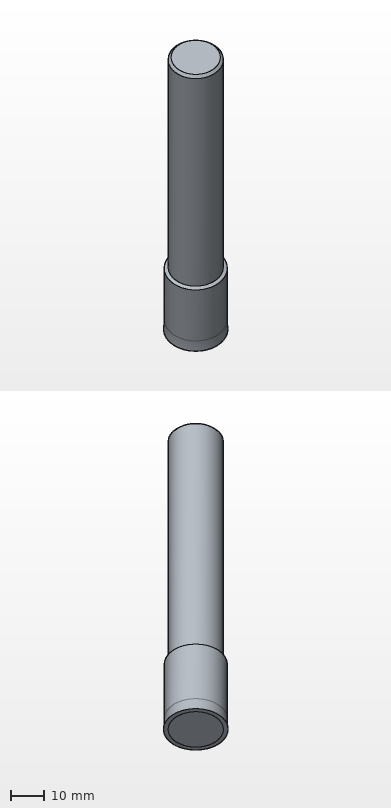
import cadquery as cq

rod_length = 113.5
rod_diameter = 16.6
rod_tip_diameter = 14.8
rod_chamfer_height = 0.9

sleeve_diameter = 19.0
flare_diameter = 19.4
flare_height = 4.1
sleeve_edge_height = 25.4
shoulder_rise = 0.5

rod_radius = rod_diameter / 2
rod_tip_radius = rod_tip_diameter / 2
sleeve_radius = sleeve_diameter / 2
flare_radius = flare_diameter / 2
sleeve_height = sleeve_edge_height + shoulder_rise


def make_rod():
    """Round bar standing on the base plane, with a chamfered tip."""
    tip_chamfer_width = rod_radius - rod_tip_radius
    bar = cq.Workplane("XY").circle(rod_radius).extrude(rod_length)
    return bar.faces(">Z").edges().chamfer(rod_chamfer_height, tip_chamfer_width)


def make_sleeve():
    """Turned tube with a shallow conical shoulder and a curved flare at its foot."""
    return (
        cq.Workplane("XZ")
        .moveTo(rod_radius, 0)
        .lineTo(rod_radius, sleeve_height)
        .lineTo(sleeve_radius, sleeve_edge_height)
        .lineTo(sleeve_radius, flare_height)
        .tangentArcPoint((flare_radius, 0), relative=False)
        .close()
        .revolve(360, (0, 0, 0), (0, 1, 0))
    )


rod = make_rod()
sleeve = make_sleeve()

result = cq.Compound.makeCompound([rod.val(), sleeve.val()])